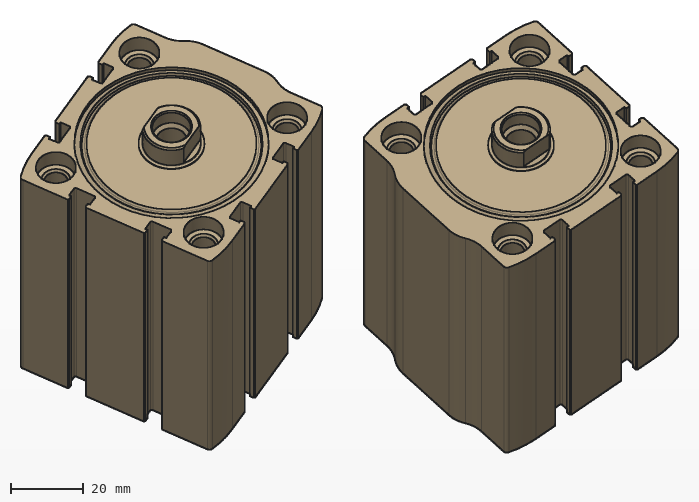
import cadquery as cq
import math

body_width = 63.0
half_width = body_width / 2
body_height = 82.0
side_flat_half = 22.0
corner_arc_radius = 29.0
corner_fillet = 1.2
pad_height = 3.0
pad_top_half = 9.6
pad_foot_half = 19.8

slot_offset = 12.0
slot_mouth = 5.2
slot_mouth_chamfer = 0.3
slot_inner_width = 6.6
slot_lip = 1.5
slot_depth = 4.7
slot_corner_radius = 0.5

hole_pitch = 46.5
counterbore_diameter = 11.0
counterbore_depth = 5.5
hole_diameter = 6.65
countersink_diameter = 8.0

cover_drop = 0.4
groove_diameter = 53.3
groove_depth = 1.3
land_diameter = 50.0
notch_diameter = 49.2
notch_depth = 0.8
cover_edge_diameter = 47.8
cover_edge_drop = 0.4
cover_diameter = 46.6
collar_diameter = 18.1
collar_wall = 0.2
collar_top_diameter = 16.4

rod_diameter = 16.0
rod_projection = 7.0
rod_depth = 40.0
rod_chamfer = 0.5
flat_width = 13.0
flat_foot = 0.35
ledge_angle = 30.0
rod_hole_diameter = 10.5
rod_hole_depth = 4.8
rod_hole_chamfer = 0.4
thread_diameter = 8.38
thread_depth = 20.0
drill_point_angle = 118.0


def side_x(y):
    """X of the curved +X side at distance y from the middle."""
    run = y - side_flat_half
    return half_width - corner_arc_radius + math.sqrt(corner_arc_radius**2 - run**2)


def housing_outline():
    corner_x = side_x(half_width)
    arc_mid_y = (side_flat_half + half_width) / 2
    arc_mid_x = side_x(arc_mid_y)
    pad_y = half_width + pad_height
    pad_mid = ((pad_top_half + pad_foot_half) / 2, half_width + pad_height / 2)
    right_half = (
        cq.Workplane("XY")
        .moveTo(0, -half_width)
        .lineTo(corner_x, -half_width)
        .threePointArc((arc_mid_x, -arc_mid_y), (half_width, -side_flat_half))
        .lineTo(half_width, side_flat_half)
        .threePointArc((arc_mid_x, arc_mid_y), (corner_x, half_width))
        .lineTo(pad_foot_half, half_width)
        .tangentArcPoint(pad_mid, relative=False)
        .tangentArcPoint((pad_top_half, pad_y), relative=False)
        .lineTo(0, pad_y)
    )
    return right_half.mirrorY()


def round_corners(block):
    """Round the four upright corner edges of the block."""
    corner_x = side_x(half_width)
    for x in (-corner_x, corner_x):
        for y in (-half_width, half_width):
            corner = cq.selectors.NearestToPointSelector((x, y, body_height / 2))
            block = block.edges(corner).fillet(corner_fillet)
    return block


def t_slot():
    """Slot cutter for the -Y side, centred on X = 0."""
    rim_half = slot_mouth / 2 + slot_mouth_chamfer
    mouth = (
        cq.Workplane("XY")
        .polyline([
            (-rim_half, 0),
            (rim_half, 0),
            (slot_mouth / 2, slot_mouth_chamfer),
            (slot_mouth / 2, slot_depth),
            (-slot_mouth / 2, slot_depth),
            (-slot_mouth / 2, slot_mouth_chamfer),
        ])
        .close()
        .extrude(body_height)
    )
    inner = (
        cq.Workplane("XY", origin=(0, slot_lip, 0))
        .box(slot_inner_width, slot_depth - slot_lip, body_height, centered=(True, False, False))
        .edges("|Z and >Y")
        .fillet(slot_corner_radius)
    )
    return mouth.union(inner).translate((0, -half_width, 0))


def mounting_hole():
    """Counterbored through hole, turned about Z."""
    floor_z = body_height - counterbore_depth
    countersink_depth = (countersink_diameter - hole_diameter) / 2
    return (
        cq.Workplane("XZ")
        .polyline([
            (0, 0),
            (hole_diameter / 2, 0),
            (hole_diameter / 2, floor_z - countersink_depth),
            (countersink_diameter / 2, floor_z),
            (counterbore_diameter / 2, floor_z),
            (counterbore_diameter / 2, body_height),
            (0, body_height),
        ])
        .close()
        .revolve(360, (0, 0), (0, 1))
    )


def cover_recess():
    """Ring-shaped cutter that leaves the cover face, its edge grooves and the collar."""
    face_z = body_height - cover_drop
    return (
        cq.Workplane("XZ")
        .polyline([
            (groove_diameter / 2, body_height),
            (groove_diameter / 2, body_height - groove_depth),
            (land_diameter / 2, face_z),
            (notch_diameter / 2, face_z - notch_depth),
            (cover_edge_diameter / 2, face_z - cover_edge_drop),
            (cover_diameter / 2, face_z),
            (collar_diameter / 2, face_z),
            (collar_diameter / 2, face_z + collar_wall),
            (collar_top_diameter / 2, body_height),
        ])
        .close()
        .revolve(360, (0, 0), (0, 1))
    )


def rod_bore():
    """Blind bore for the rod."""
    return (
        cq.Workplane("XY", origin=(0, 0, body_height - rod_depth))
        .circle(rod_diameter / 2)
        .extrude(rod_depth)
    )


def make_housing():
    housing = round_corners(housing_outline().extrude(body_height))
    for side_angle in (-90, 0, 90):
        for offset in (-slot_offset, slot_offset):
            slot = t_slot().translate((offset, 0, 0))
            housing = housing.cut(slot.rotate((0, 0, 0), (0, 0, 1), side_angle))
    for x in (-hole_pitch / 2, hole_pitch / 2):
        for y in (-hole_pitch / 2, hole_pitch / 2):
            housing = housing.cut(mounting_hole().translate((x, y, 0)))
    return housing.cut(cover_recess()).cut(rod_bore())


def rod_hole(top_z):
    """Threaded end hole with a plain entry and a drill point."""
    entry_z = top_z - rod_hole_depth
    thread_z = entry_z - (rod_hole_diameter - thread_diameter) / 2
    point_z = top_z - thread_depth
    point_length = thread_diameter / 2 / math.tan(math.radians(drill_point_angle / 2))
    return (
        cq.Workplane("XZ")
        .polyline([
            (0, point_z - point_length),
            (thread_diameter / 2, point_z),
            (thread_diameter / 2, thread_z),
            (rod_hole_diameter / 2, entry_z),
            (rod_hole_diameter / 2, top_z - rod_hole_chamfer),
            (rod_hole_diameter / 2 + rod_hole_chamfer, top_z),
            (0, top_z),
        ])
        .close()
        .revolve(360, (0, 0), (0, 1))
    )


def wrench_flat(top_z):
    """Cutter for the +X flat and the sloping ledge at its foot."""
    flat_x = flat_width / 2
    outer_x = rod_diameter / 2
    foot_z = body_height + flat_foot
    ledge_fall = (outer_x - flat_x) * math.tan(math.radians(ledge_angle))
    return (
        cq.Workplane("XZ")
        .polyline([
            (flat_x, top_z),
            (flat_x, foot_z),
            (outer_x, foot_z - ledge_fall),
            (outer_x, top_z),
        ])
        .close()
        .extrude(rod_diameter / 2, both=True)
    )


def make_rod():
    top_z = body_height + rod_projection
    rod = (
        cq.Workplane("XY", origin=(0, 0, body_height - rod_depth))
        .circle(rod_diameter / 2)
        .extrude(rod_depth + rod_projection)
        .faces(">Z")
        .chamfer(rod_chamfer)
    )
    flat = wrench_flat(top_z)
    return rod.cut(flat).cut(flat.mirror("YZ")).cut(rod_hole(top_z))


housing = make_housing()
rod = make_rod()
result = cq.Compound.makeCompound([housing.val(), rod.val()])